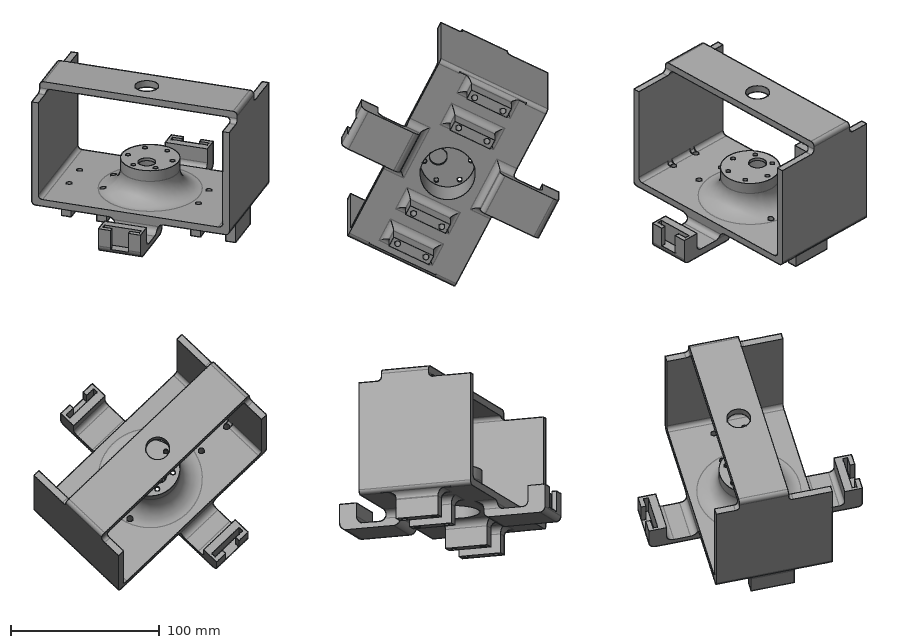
import cadquery as cq
import math

frame_width = 140.74
frame_depth = 80.4
frame_bottom = 18.0
frame_top = 103.0
plate = 5.0
window_width = 131.2
corner_radius = 3.0
floor_top = frame_bottom + plate
beam_underside = frame_top - plate

axis_y = -7.0
beam_width = 34.0
beam_hole_diameter = 16.0
shoulder_z = 95.0

hub_diameter = 40.0
hub_top = 46.0
hub_flare_radius = 15.0
hub_cap = 2.0
pocket_diameter = 37.0
bore_diameter = 12.0
bolt_count = 6
bolt_circle_radius = 15.6
bolt_diameter = 3.2
bolt_start_angle = 2.5

mount_x = 4.0
root_radius = 5.0

leg_pair_offset = 46.0
leg_pitch = 25.0
leg_thickness = 7.0
leg_length = 30.0
screw_pitch_x = 24.0
screw_offset_y = 10.6
screw_diameter = 4.0
relief_fillet = 1.5

hook_width = 30.0
hook_bottom = 7.5
hook_root_y = 30.0
hook_tip_y = 74.0
tab_thickness = 12.3
tab_height = 14.2
back_strip = 5.0
back_radius = 3.75
front_strip = 3.75
front_radius = 5.0

slot_lip = 3.3
slot_depth = 3.3
slot_width = 26.0
slot_opening = 12.7


def block(x, y, z):
    """Box given by its (low, high) range on each axis."""
    size = (x[1] - x[0], y[1] - y[0], z[1] - z[0])
    return cq.Workplane("XY").box(*size, centered=False).translate((x[0], y[0], z[0]))


def centred(middle, width):
    """Range of the given width about a middle value."""
    return (middle - width / 2, middle + width / 2)


def frame_envelope():
    """Outer frame block, with the edges that run along Y rounded."""
    body = block(
        centred(0, frame_width), centred(0, frame_depth), (frame_bottom, frame_top)
    )
    return body.edges("|Y").fillet(corner_radius)


def make_frame():
    """Open loop: floor, two side walls and a narrower top beam."""
    window = block(
        centred(0, window_width), centred(0, 2 * frame_depth), (floor_top, beam_underside)
    ).edges("|Y").fillet(corner_radius)
    frame = frame_envelope().cut(window)

    beam_low, beam_high = centred(axis_y, beam_width)
    for y_range, beam_side in (
        ((-frame_depth, beam_low), ">Y"),
        ((beam_high, frame_depth), "<Y"),
    ):
        above_shoulder = block(centred(0, 2 * frame_width), y_range, (shoulder_z, frame_top + plate))
        rounded = above_shoulder.faces(beam_side).edges("<Z").fillet(corner_radius)
        frame = frame.cut(rounded)
    return frame


def make_hub():
    """Round hub flaring out into the floor."""
    radius = hub_diameter / 2
    flare = hub_flare_radius
    diagonal = flare * math.sqrt(0.5)
    flare_edge = radius + flare
    profile = (
        cq.Workplane("XZ")
        .moveTo(0, frame_bottom)
        .lineTo(flare_edge, frame_bottom)
        .lineTo(flare_edge, floor_top)
        .threePointArc(
            (flare_edge - diagonal, floor_top + flare - diagonal),
            (radius, floor_top + flare),
        )
        .lineTo(radius, hub_top)
        .lineTo(0, hub_top)
        .close()
    )
    return profile.revolve(360, (0, 0, 0), (0, 1, 0))


def make_hub_pocket():
    """Round hollow rising from under the floor to the hub's end wall."""
    return (
        cq.Workplane("XY")
        .workplane(offset=frame_bottom)
        .circle(pocket_diameter / 2)
        .extrude(hub_top - hub_cap - frame_bottom)
    )


def with_root_cove(x, y, bottom, top):
    """Post hanging under the floor with a cove all around its root.

    The slab left above the cove ends at top, inside the floor.
    """
    margin = 2 * root_radius
    slab_x = (x[0] - margin, x[1] + margin)
    slab_y = (y[0] - margin, y[1] + margin)
    slab = block(slab_x, slab_y, (frame_bottom, floor_top))
    post = block(x, y, (bottom, frame_bottom))
    slack = 1.0
    around_joint = cq.selectors.BoxSelector(
        (x[0] - slack, y[0] - slack, frame_bottom - slack),
        (x[1] + slack, y[1] + slack, frame_bottom + slack),
    )
    coved = slab.union(post).edges(around_joint).fillet(root_radius)
    return coved.cut(block(slab_x, slab_y, (top, floor_top)))


def pair_positions(pitch):
    """X positions of the two pairs spaced about mount_x."""
    return [
        mount_x + side * leg_pair_offset + step * pitch / 2
        for side in (-1, 1)
        for step in (-1, 1)
    ]


def make_legs():
    """Four legs; the outermost +X cove is rolled against the rounded bottom corner of the frame."""
    outer_face = max(pair_positions(leg_pitch)) + leg_thickness / 2
    corner_x = frame_width / 2 - corner_radius
    corner_z = frame_bottom + corner_radius
    roll_x = outer_face + root_radius
    reach = root_radius + corner_radius
    drop = math.sqrt(reach**2 - (roll_x - corner_x) ** 2)
    roll_z = corner_z - drop
    touch_z = corner_z - drop * corner_radius / reach

    legs = cq.Workplane("XY")
    for x in pair_positions(leg_pitch):
        legs = legs.add(with_root_cove(centred(x, leg_thickness), centred(0, leg_length), 0, touch_z))
    roll = (
        cq.Workplane("XZ")
        .center(roll_x, roll_z)
        .circle(root_radius)
        .extrude(frame_depth / 2, both=True)
    )
    footprint = block(centred(0, frame_width), centred(0, frame_depth), (0, frame_top))
    return legs.combine().cut(roll).intersect(footprint)


def make_hook(strip, bend_radius):
    """Hook reaching out in +Y: root under the floor, flat strip, upright tab with a T-slot.

    bend_radius rounds the strip's upper inside corners and its lower corners.
    """
    edge_y = frame_depth / 2
    strip_top = hook_bottom + strip
    tab_top = strip_top + tab_height
    tab_y = hook_tip_y - tab_thickness
    x_range = centred(mount_x, hook_width)

    bend_end = edge_y + bend_radius
    root = with_root_cove(x_range, (hook_root_y, hook_tip_y), hook_bottom, frame_bottom)
    beyond_bend = block(
        centred(0, frame_width), (bend_end, hook_tip_y + frame_depth), (0, frame_top)
    )
    arm = block(x_range, (edge_y, hook_tip_y), (hook_bottom, tab_top))
    trough = block(
        centred(0, frame_width), (edge_y, tab_y), (strip_top, frame_top)
    ).edges("|X and <Z").fillet(bend_radius)
    hook = root.cut(beyond_bend).union(arm).cut(trough)
    hook = hook.faces("<Z").edges("|X").fillet(bend_radius)

    slot_back = hook_tip_y - slot_lip - slot_depth
    slot = block(
        centred(mount_x, slot_width), (slot_back, hook_tip_y - slot_lip), (strip_top, frame_top)
    )
    opening = block(
        centred(mount_x, slot_opening), (slot_back, hook_tip_y), (strip_top, frame_top)
    )
    return hook.cut(slot).cut(opening)


def drill(diameter, points):
    """Vertical through-hole cutters at the given XY points."""
    return cq.Workplane("XY").pushPoints(points).circle(diameter / 2).extrude(hub_top)


def make_screw_relief():
    """Slots above the floor that carry the +X screw holes through the corner fillet to the wall."""
    screw_x = max(pair_positions(screw_pitch_x))
    wall_x = window_width / 2
    slots = cq.Workplane("XY")
    for y in (-screw_offset_y, screw_offset_y):
        slot = block(
            (screw_x, wall_x), centred(y, screw_diameter), (floor_top, floor_top + corner_radius)
        )
        slots = slots.add(slot.faces(">X").edges("<Z").fillet(relief_fillet))
    return slots.combine()


def bolt_points():
    """Centres of the hub's bolt circle holes."""
    angles = [math.radians(bolt_start_angle + i * 360 / bolt_count) for i in range(bolt_count)]
    return [(bolt_circle_radius * math.cos(a), bolt_circle_radius * math.sin(a)) for a in angles]


def screw_points():
    """Centres of the screw holes above the legs."""
    return [(x, y) for x in pair_positions(screw_pitch_x) for y in (-screw_offset_y, screw_offset_y)]


back_hook = make_hook(back_strip, back_radius)
front_hook = make_hook(front_strip, front_radius).mirror("XZ")

body = make_frame().union(make_hub()).union(make_legs()).union(back_hook).union(front_hook)

beam_hole = (
    cq.Workplane("XY")
    .workplane(offset=beam_underside)
    .center(0, axis_y)
    .circle(beam_hole_diameter / 2)
    .extrude(plate)
)
result = (
    body.cut(beam_hole)
    .cut(make_hub_pocket())
    .cut(drill(bore_diameter, [(0, axis_y)]))
    .cut(drill(bolt_diameter, bolt_points()))
    .cut(drill(screw_diameter, screw_points()))
    .cut(make_screw_relief())
)